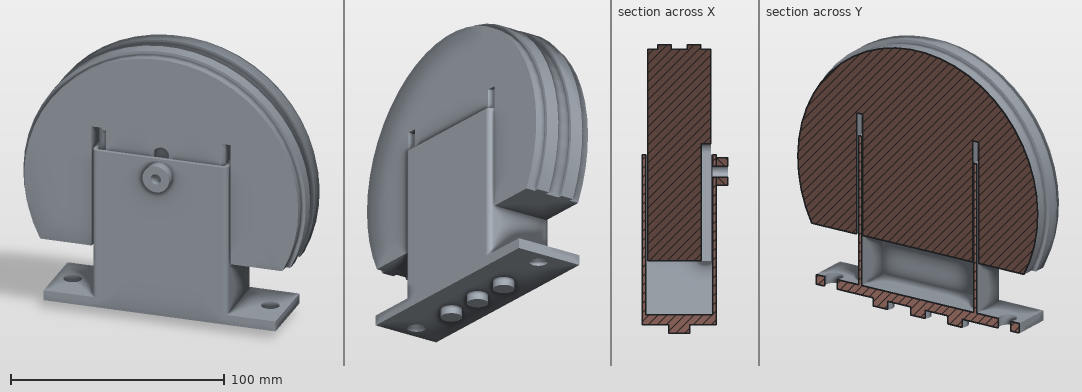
import cadquery as cq
import math


housing_depth = 35.0
plate_length = 114.9
plate_thickness = 5.0
mount_hole_diameter = 8.7
mount_hole_spacing = 98.0
tube_width = 67.0
tube_top = 80.0
tube_wall = 2.0
tube_corner_radius = 2.5
peg_diameter = 10.1
peg_length = 4.0
peg_spacing = 21.0

boss_diameter = 13.2
boss_length = 5.5
boss_bore = 5.0
boss_height = 71.9

ridge_radius = 70.0
groove_radius = 67.9
shoe_center_height = 61.8
shoe_bottom = 30.1
shoe_depth = 30.0
ridge_width = 6.5
ridge_spacing = 13.9

wall_slot_span = 68.8
wall_slot_top = 91.0
core_width = 62.4
core_chamfer = 2.0

screw_slot_width = 7.8
screw_slot_top = 85.0
screw_slot_depth = 4.5
pocket_left = -30.0
pocket_width = 14.8
pocket_top = 89.8
pocket_depth = 2.2
latch_width = 12.2

shoe_front = -shoe_depth / 2


def box(x_min, x_max, y_min, y_max, z_min, z_max):
    """Box between the given limits."""
    size = (x_max - x_min, y_max - y_min, z_max - z_min)
    return cq.Workplane("XY").box(*size, centered=False).translate((x_min, y_min, z_min))


def upright_bar(width, depth, z_min, z_max):
    """Vertical bar of rectangular section, centred on the Z axis."""
    return box(-width / 2, width / 2, -depth / 2, depth / 2, z_min, z_max)


def y_cylinder(diameter, z_center, y_min, y_max):
    """Cylinder along Y on the plane X = 0."""
    start = cq.Vector(0, y_min, z_center)
    solid = cq.Solid.makeCylinder(diameter / 2, y_max - y_min, start, cq.Vector(0, 1, 0))
    return cq.Workplane(obj=solid)


def make_housing():
    """Plate and tube in one piece, with three pegs under the plate."""
    half_depth = housing_depth / 2
    plate = box(-plate_length / 2, plate_length / 2, -half_depth, half_depth, 0, plate_thickness)
    plate = (
        plate.faces(">Z").workplane(origin=(0, 0, plate_thickness))
        .pushPoints([(-mount_hole_spacing / 2, 0), (mount_hole_spacing / 2, 0)])
        .hole(mount_hole_diameter)
    )

    tube = upright_bar(tube_width, housing_depth, 0, tube_top)
    tube = tube.edges("|Z").fillet(tube_corner_radius)
    cavity = upright_bar(
        tube_width - 2 * tube_wall,
        housing_depth - 2 * tube_wall,
        plate_thickness,
        tube_top,
    )
    cavity = cavity.edges("|Z").fillet(tube_corner_radius - tube_wall)
    screw_hole = y_cylinder(boss_bore, boss_height, -half_depth, 0)
    pegs = (
        cq.Workplane("XY")
        .pushPoints([(step * peg_spacing, 0) for step in (-1, 0, 1)])
        .circle(peg_diameter / 2)
        .extrude(-peg_length)
    )
    return plate.union(tube).cut(cavity).cut(screw_hole).union(pegs)


def make_boss():
    """Bored round boss standing on the front face of the tube."""
    tube_front = -housing_depth / 2
    boss_front = tube_front - boss_length
    body = y_cylinder(boss_diameter, boss_height, boss_front, tube_front)
    return body.cut(y_cylinder(boss_bore, boss_height, boss_front, tube_front))


def flat_bottom_disc(radius, y_center, width):
    """Disc about the shoe's axis, cut off flat at the shoe's bottom."""
    drop = shoe_center_height - shoe_bottom
    half_chord = math.sqrt(radius**2 - drop**2)
    return (
        cq.Workplane("XZ", origin=(0, y_center, 0))
        .moveTo(-half_chord, shoe_bottom)
        .threePointArc((0, shoe_center_height + radius), (half_chord, shoe_bottom))
        .close()
        .extrude(width / 2, both=True)
    )


def make_wall_slots():
    """Clearance around the shoe's core for the side walls of the tube."""
    half_span = wall_slot_span / 2
    opening = box(-half_span, half_span, -shoe_depth, shoe_depth, shoe_bottom, wall_slot_top)
    core = upright_bar(core_width, shoe_depth, shoe_bottom, wall_slot_top)
    return opening.cut(core.edges("|Z").chamfer(core_chamfer))


def make_screw_slot():
    """Round-topped groove down the front of the core."""
    half_width = screw_slot_width / 2
    arc_height = screw_slot_top - half_width
    recess_back = shoe_front + screw_slot_depth
    straight = box(-half_width, half_width, shoe_front, recess_back, shoe_bottom, arc_height)
    return straight.union(y_cylinder(screw_slot_width, arc_height, shoe_front, recess_back))


def front_groove(x_min, x_max):
    """Square-topped volume in the core's front, down to the shoe's bottom."""
    return box(x_min, x_max, shoe_front, shoe_front + pocket_depth, shoe_bottom, pocket_top)


def make_shoe():
    """Ridged disc with slots for the tube walls, the screw and the latch."""
    disc = flat_bottom_disc(groove_radius, 0, shoe_depth)
    for side in (-1, 1):
        disc = disc.union(flat_bottom_disc(ridge_radius, side * ridge_spacing / 2, ridge_width))
    pocket = front_groove(pocket_left, pocket_left + pocket_width)
    return disc.cut(make_wall_slots()).cut(make_screw_slot()).cut(pocket)


def make_latch():
    """Bar against the right side of the pocket, flush with the shoe's front."""
    pocket_right = pocket_left + pocket_width
    return front_groove(pocket_right - latch_width, pocket_right)


housing = make_housing()
boss = make_boss()
shoe = make_shoe()
latch = make_latch()

result = cq.Compound.makeCompound([housing.val(), boss.val(), shoe.val(), latch.val()])